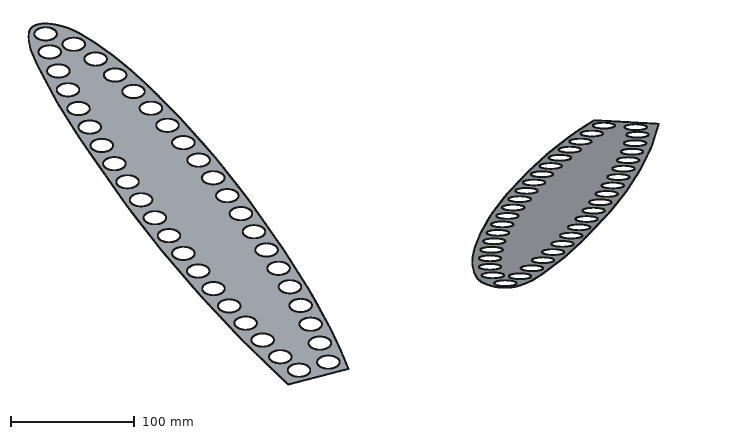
import cadquery as cq

length = 533.5
width = 93.5
thickness = 0.25
crown_x = 272
nose_y = 34.5
tail_low_y = 20.5
tail_high_y = 73.5

hole_diameter = 18.0
upper_hole_count = 20
lower_hole_count = 18
tail_hole = (519.0, 36.5)

nose = (0, nose_y)
nose_rise = (0, 1)
upper_edge = [
    nose, (4.0, 45.0), (13.0, 54.0), (32, 63.5), (70.5, 74.5), (128.5, 84.5), (205.5, 91.0),
    (crown_x, width), (360.0, 92.0), (437.0, 87.0), (length, tail_high_y),
]
lower_edge = [
    (length, tail_low_y), (456.0, 10.0), (379.5, 4.0), (crown_x, 0), (186.0, 1.5),
    (109.5, 5.5), (51.0, 12.0), (13.0, 21.0), nose,
]
upper_row = [
    (14.5, 35.0), (36.5, 50.0), (62.0, 58.0), (115.0, 68.5), (196.0, 77.0),
    (303.5, 80.0), (411.5, 76.0), (518.5, 62.5),
]
lower_row = [
    (38.5, 28.5), (92.0, 21.0), (173.0, 15.0), (254.0, 14.0), (334.5, 15.5),
    (415.5, 20.5), (496, 30.0),
]


def evenly_spaced(curve_points, count):
    """Points at equal arc-length steps along a spline, ends included."""
    curve = cq.Edge.makeSpline([cq.Vector(x, y, 0) for x, y in curve_points])
    points = [curve.positionAt(i / (count - 1)) for i in range(count)]
    return [(point.x, point.y) for point in points]


def make_plate():
    """Flat plate whose two curved edges meet smoothly at the nose."""
    upper_tangents = [nose_rise] + [None] * (len(upper_edge) - 1)
    lower_tangents = [None] * (len(lower_edge) - 1) + [nose_rise]
    return (
        cq.Workplane("XY")
        .moveTo(*nose)
        .spline(upper_edge[1:], tangents=upper_tangents, includeCurrent=True)
        .lineTo(length, tail_low_y)
        .spline(lower_edge[1:], tangents=lower_tangents, includeCurrent=True)
        .close()
        .extrude(thickness)
    )


hole_centres = (
    evenly_spaced(upper_row, upper_hole_count)
    + evenly_spaced(lower_row, lower_hole_count)
    + [tail_hole]
)
holes = (
    cq.Workplane("XY")
    .pushPoints(hole_centres)
    .circle(hole_diameter / 2)
    .extrude(thickness)
)

result = make_plate().cut(holes)